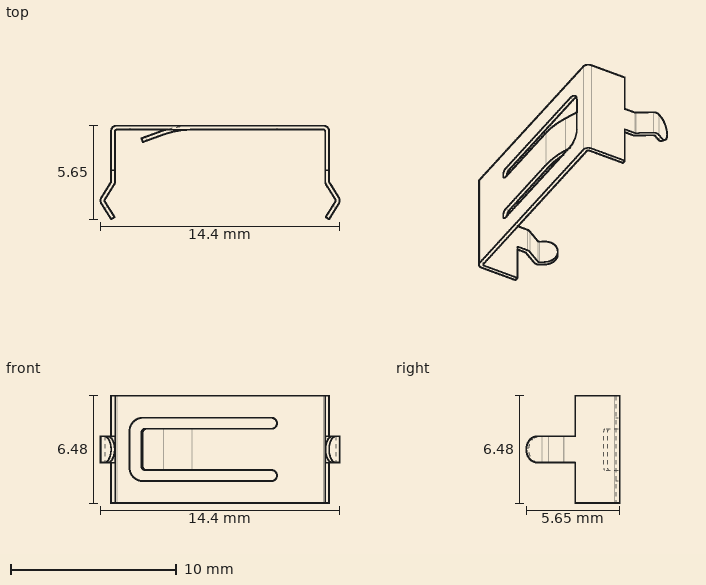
import cadquery as cq
import math

thickness = 0.25
bend_radius = 0.1
mid_bend_radius = bend_radius + thickness / 2

body_width = 13.15
body_height = 6.48
wall_depth = 2.7

arm_span = 14.42
arm_depth = 5.65
knee_depth = 4.52
arm_height = 1.6
arm_angle = math.radians(32)

tongue_height = 2.5
tongue_angle = math.radians(20)
tongue_bend_radius = 5.0
tongue_bend_start_x = -1.71
tongue_tip_length = 1.32
tongue_corner_radius = 0.25
slot_left_x = -5.45
slot_right_x = 3.42
slot_height = 3.8
slot_corner_radius = 0.8

wall_mid_x = (body_width - thickness) / 2
plate_mid_y = -thickness / 2


def bent_strip(corners, radius, height):
    """Sheet strip whose mid-surface follows the corner points in XY, rounded at each inner corner."""
    path = cq.Workplane("XY").polyline(corners).wire().val()
    path = path.fillet(radius, path.Vertices()[1:-1])
    start = cq.Plane(origin=path.startPoint(), xDir=(0, 0, 1), normal=path.tangentAt(0))
    return cq.Workplane(start).rect(height, thickness).sweep(cq.Workplane(path))


def body():
    """Back plate with its two bent side walls."""
    corners = [
        (-wall_mid_x, -wall_depth),
        (-wall_mid_x, plate_mid_y),
        (wall_mid_x, plate_mid_y),
        (wall_mid_x, -wall_depth),
    ]
    return bent_strip(corners, mid_bend_radius, body_height)


def slot():
    """Window around the tongue, ending in two round leg ends above and below the tongue root."""
    end_radius = (slot_height - tongue_height) / 4
    end_x = slot_right_x - end_radius
    end_z = slot_height / 2 - end_radius
    cutter_depth = 2 * thickness

    window = cq.Workplane("XY").box(end_x - slot_left_x, cutter_depth, slot_height)
    window = window.edges("|Y and <X").fillet(slot_corner_radius)
    window = window.translate(((slot_left_x + end_x) / 2, plate_mid_y, 0))

    ends = cq.Workplane("XZ", origin=(0, plate_mid_y, 0)).pushPoints([(end_x, end_z), (end_x, -end_z)])
    ends = ends.circle(end_radius).extrude(cutter_depth / 2, both=True)
    return window.union(ends)


def tongue():
    """Tongue filling the window from its root: flat at first, then bent out of the plate toward -Y."""
    mid_radius = tongue_bend_radius + thickness / 2
    tangent_length = mid_radius * math.tan(tongue_angle / 2)
    tilted_length = tangent_length + tongue_tip_length
    bend_x = tongue_bend_start_x - tangent_length
    corners = [
        (slot_right_x, plate_mid_y),
        (bend_x, plate_mid_y),
        (
            bend_x - tilted_length * math.cos(tongue_angle),
            plate_mid_y - tilted_length * math.sin(tongue_angle),
        ),
    ]
    strip = bent_strip(corners, mid_radius, tongue_height)
    return strip.faces("<X").edges("#Z").fillet(tongue_corner_radius)


def left_arm():
    """Clip arm on the -X wall: out to the knee, then back in to a fully rounded tip."""
    knee_rounding = mid_bend_radius * (1 / math.cos(arm_angle) - 1)
    knee_x = -(arm_span - thickness) / 2 - knee_rounding
    root_y = -knee_depth - (knee_x + wall_mid_x) / math.tan(arm_angle)

    tip_radius = arm_height / 2
    end_y = -arm_depth + thickness / 2 * math.sin(arm_angle)
    tip_center_y = end_y + tip_radius * math.cos(arm_angle)
    tip_center_x = knee_x + (-knee_depth - tip_center_y) * math.tan(arm_angle)

    corners = [
        (-wall_mid_x, -wall_depth),
        (-wall_mid_x, root_y),
        (knee_x, -knee_depth),
        (tip_center_x, tip_center_y),
    ]
    strip = bent_strip(corners, mid_bend_radius, arm_height)
    tip_plane = cq.Plane(
        origin=(tip_center_x, tip_center_y, 0),
        xDir=(0, 0, 1),
        normal=(math.cos(arm_angle), math.sin(arm_angle), 0),
    )
    half_disc = cq.Workplane(tip_plane).moveTo(-tip_radius, 0)
    half_disc = half_disc.threePointArc((0, tip_radius), (tip_radius, 0)).close()
    tip = half_disc.extrude(thickness / 2, both=True)
    return strip.union(tip)


arm = left_arm()
result = body().cut(slot()).union(tongue()).union(arm).union(arm.mirror("YZ"))